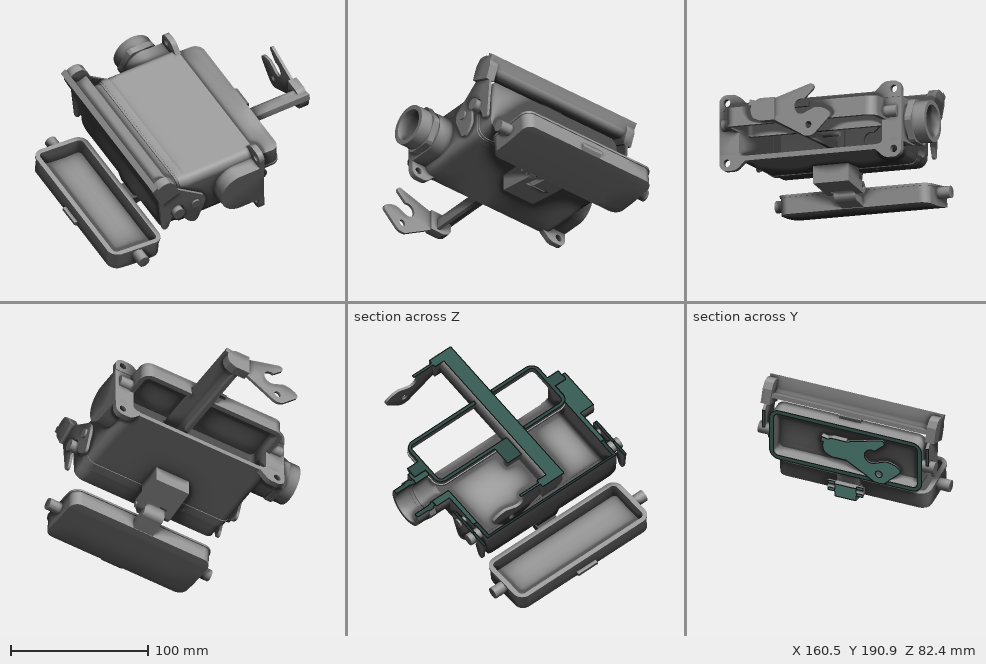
import cadquery as cq
import math


housing_half_width = 60.1
housing_half_height = 21.4
corner_radius = 6.7
wall = 3.6
flange_back = 19.3
housing_front = -44.0
band_length = 5.5
band_height = 0.5

ear_half_width = 72.0
ear_half_height = 28.2
ear_radius = 6.0
ear_tip_end = 61.8
ear_slope_start = 56.3
ear_slope_start_z = 26.0
ear_slope_end = 51.3
ear_front = 15.6
pad_height = 0.5
screw_hole_d = 5.5
boss_radius = 16.2
cable_hole_d = 21.8

rivet_y = -34.2
rivet_shank_d = 5.0
rivet_head_d = 7.0
rivet_head_height = 1.3

hinge_y = -45.0
hinge_z = -34.0
hinge_hole_d = 3.2
bracket_half_width = 14.0
bracket_tip_radius = 4.4
bracket_back_y = -18.1
bracket_back_z = -34.3
bracket_step_y = -38.0
bracket_step_z = -29.0

gland_end = -88.5
gland_d = 31.0
gland_bore_d = 24.2
gland_bore_end = -76.1
gland_neck_bore_d = 23.5
hex_start = -78.6
hex_end = -73.7
hex_flats = 31.9
hex_corner_d = 35.3
collar_d = 30.0

cover_half_width = 59.2
cover_half_depth = 21.0
cover_edge_height = 14.1
cover_crown = 1.3
cover_corner_radius = 7.3
rim_overhang = 0.8
rim_height = 1.7
cover_cavity_radius = 3.5
cover_floor = 2.0
peg_d = 9.0
peg_height = 5.7
peg_end = 69.0
tab_half_width = 8.5
tab_reach = 2.7
tab_low = 9.7
tab_high = 12.2
arm_half_width = 8.4
arm_barrel_d = 5.0
arm_inner_height = 5.3
arm_hook_start_height = 6.5
arm_hook_middle = (-35.1, 9.2)
arm_hook_end = (-32.0, 10.7)
arm_root_height = 13.7
rear_cover_y = 19.0
open_angle = 84.7

lever_half_length = 68.1
lever_tilt = 22.3
plate_outer = 65.3
plate_thickness = 2.1
cap_width = 7.0
cap_half_height = 8.4
cap_straight = 11.3
cap_crown_start = 16.2
cap_crown_half_height = 6.3
cap_crown = 18.5
pivot_p = -25.8
pivot_q = -13.7
pivot_hole_d = 5.2
notch_p = -20.2
notch_q = 0.4
notch_d = 11.3
notch_mouth_p = -22.3
finger_corner = ((-26.7, 16.6), (-30.0, 15.3), (-29.4, 12.2))
lobe_edge = ((-31.0, -1.1), (-36.0, -1.7), (-41.8, -4.8))
lobe_tip = (lobe_edge[2], (-42.7, -6.9), (-41.8, -9.5))
heel_corner = ((-31.7, -19.5), (-27.9, -21.8), (-22.7, -21.5))
rail_bend_p = 11.0
rail_bend_radius = 6.1
rail_thickness = 3.0
rail_foot_q = -6.1
lip_top = (20.2, 3.6)
lip_edge = (19.0, 8.0)
rear_lever_x = -0.4
rear_lever_y = 19.3


def box(x0, x1, y0, y1, z0, z1):
    size = (x1 - x0, y1 - y0, z1 - z0)
    return cq.Workplane("XY").box(*size, centered=False).translate((x0, y0, z0))


def x_cylinder(diameter, x0, x1, y, z):
    return cq.Workplane("YZ", origin=(x0, 0, 0)).center(y, z).circle(diameter / 2).extrude(x1 - x0)


def y_tube(half_width, half_height, radius, y0, y1):
    """A rounded rectangular bar along Y."""
    bar = cq.Workplane("XZ", origin=(0, y1, 0)).rect(2 * half_width, 2 * half_height)
    return bar.extrude(y1 - y0).edges("|Y").fillet(radius)


def make_ear(side, up):
    """One corner ear of the flange; side and up are +1 or -1."""
    corner = ear_radius * (1 - math.sqrt(0.5))
    back = flange_back + pad_height
    ear = (
        cq.Workplane("XZ", origin=(0, back, 0))
        .moveTo(side * ear_slope_end, 0)
        .lineTo(side * ear_half_width, 0)
        .lineTo(side * ear_half_width, up * (ear_half_height - ear_radius))
        .threePointArc(
            (side * (ear_half_width - corner), up * (ear_half_height - corner)),
            (side * (ear_half_width - ear_radius), up * ear_half_height),
        )
        .lineTo(side * ear_tip_end, up * ear_half_height)
        .tangentArcPoint((side * ear_slope_start, up * ear_slope_start_z), relative=False)
        .lineTo(side * ear_slope_end, up * housing_half_height)
        .close()
        .extrude(back - ear_front)
    )
    recess = box(-ear_half_width, ear_half_width, flange_back, back, -boss_radius, boss_radius)
    hole = (
        cq.Workplane("XZ", origin=(0, back, 0))
        .center(side * (ear_half_width - ear_radius), up * (ear_half_height - ear_radius))
        .circle(screw_hole_d / 2)
        .extrude(back - ear_front)
    )
    return ear.cut(recess).cut(hole)


def make_bosses():
    """D-shaped bosses on both ends, as one bar across the housing."""
    block = box(-ear_half_width, ear_half_width, 0, flange_back, -boss_radius, boss_radius)
    return block.union(x_cylinder(2 * boss_radius, -ear_half_width, ear_half_width, 0, 0))


def make_bracket():
    """Forked hinge bracket below the housing."""
    slope = math.atan2(bracket_back_z - hinge_z + bracket_tip_radius, bracket_back_y - hinge_y)
    bottom = (hinge_y + bracket_tip_radius * math.sin(slope), hinge_z - bracket_tip_radius * math.cos(slope))
    top = (hinge_y - bracket_tip_radius * math.sin(slope), hinge_z + bracket_tip_radius * math.cos(slope))
    tip = (hinge_y - bracket_tip_radius * math.cos(slope), hinge_z - bracket_tip_radius * math.sin(slope))
    root_z = wall - housing_half_height
    body = (
        cq.Workplane("YZ", origin=(-bracket_half_width, 0, 0))
        .moveTo(bracket_back_y, root_z)
        .lineTo(bracket_back_y, bracket_back_z)
        .lineTo(*bottom)
        .threePointArc(tip, top)
        .lineTo(bracket_step_y, bracket_step_z)
        .lineTo(bracket_step_y, root_z)
        .close()
        .extrude(2 * bracket_half_width)
    )
    slot = box(
        -arm_half_width, arm_half_width, hinge_y - bracket_tip_radius, bracket_step_y,
        hinge_z - 2 * bracket_tip_radius, -housing_half_height,
    )
    hole = x_cylinder(hinge_hole_d, -bracket_half_width, bracket_half_width, hinge_y, hinge_z)
    return body.cut(slot).cut(hole)


def make_rivet(side):
    root = side * (housing_half_width - wall)
    head_start = side * plate_outer
    head_end = side * (plate_outer + rivet_head_height)
    shank = x_cylinder(rivet_shank_d, root, head_start, rivet_y, 0)
    return shank.union(x_cylinder(rivet_head_d, head_start, head_end, rivet_y, 0))


def make_housing():
    body = y_tube(housing_half_width, housing_half_height, corner_radius, housing_front, flange_back)
    band = y_tube(
        housing_half_width, housing_half_height + band_height, corner_radius,
        housing_front, housing_front + band_length,
    )
    body = body.union(band).union(make_bosses())
    for side in (-1, 1):
        for up in (-1, 1):
            body = body.union(make_ear(side, up))
    cavity = y_tube(
        housing_half_width - wall, housing_half_height - wall, corner_radius - wall,
        housing_front, flange_back + pad_height,
    )
    body = body.cut(cavity)
    body = body.union(make_bracket())
    for side in (-1, 1):
        body = body.union(make_rivet(side))
    return body.cut(x_cylinder(cable_hole_d, -ear_half_width, 0, 0, 0))


def make_gland():
    collar = x_cylinder(collar_d, hex_end, -ear_half_width, 0, 0)
    barrel = x_cylinder(gland_d, gland_end, hex_end, 0, 0)
    nut = (
        cq.Workplane("YZ", origin=(hex_start, 0, 0))
        .polygon(6, hex_flats / math.cos(math.radians(30)))
        .extrude(hex_end - hex_start)
        .intersect(x_cylinder(hex_corner_d, hex_start, hex_end, 0, 0))
    )
    gland = barrel.union(nut).union(collar)
    gland = gland.cut(x_cylinder(gland_bore_d, gland_end, gland_bore_end, 0, 0))
    gland = gland.cut(x_cylinder(gland_neck_bore_d, gland_bore_end, hex_end, 0, 0))
    return gland.cut(x_cylinder(cable_hole_d, hex_end, -ear_half_width, 0, 0))


def crowned_block(half_width, half_depth, edge_height):
    """A block along X whose top is a shallow arc."""
    return (
        cq.Workplane("YZ", origin=(-half_width, 0, 0))
        .moveTo(-half_depth, 0)
        .lineTo(half_depth, 0)
        .lineTo(half_depth, edge_height)
        .threePointArc((0, edge_height + cover_crown), (-half_depth, edge_height))
        .close()
        .extrude(2 * half_width)
    )


def make_arm():
    """Hinge arm that leaves the cover's side and hooks round to the hinge."""
    pivot_y = hinge_z
    pivot_z = housing_front - hinge_y
    r = arm_barrel_d / 2
    return (
        cq.Workplane("YZ", origin=(-arm_half_width, 0, 0))
        .moveTo(-cover_half_depth, arm_inner_height)
        .lineTo(pivot_y + r, arm_inner_height)
        .lineTo(pivot_y + r, pivot_z)
        .threePointArc((pivot_y, pivot_z - r), (pivot_y - r, pivot_z))
        .lineTo(pivot_y - r, arm_hook_start_height)
        .threePointArc(arm_hook_middle, arm_hook_end)
        .lineTo(-cover_half_depth, arm_root_height)
        .close()
        .extrude(2 * arm_half_width)
    )


def make_tab():
    reach = cover_half_depth + tab_reach
    return (
        cq.Workplane("YZ", origin=(-tab_half_width, 0, 0))
        .moveTo(cover_half_depth, tab_low)
        .lineTo(reach, tab_low)
        .lineTo(reach, tab_high)
        .lineTo(cover_half_depth, cover_edge_height)
        .close()
        .extrude(2 * tab_half_width)
    )


def make_cover():
    body = crowned_block(cover_half_width, cover_half_depth, cover_edge_height)
    body = body.edges("|Z").fillet(cover_corner_radius)
    rim = (
        cq.Workplane("XY")
        .rect(2 * (cover_half_width + rim_overhang), 2 * (cover_half_depth + rim_overhang))
        .extrude(rim_height)
        .edges("|Z").fillet(cover_corner_radius + rim_overhang)
    )
    cavity = crowned_block(
        cover_half_width + rim_overhang - wall, cover_half_depth + rim_overhang - wall,
        cover_edge_height - cover_floor,
    )
    cavity = cavity.edges("|Z").fillet(cover_cavity_radius)
    body = body.union(rim).union(make_arm()).union(make_tab())
    body = body.union(x_cylinder(peg_d, -peg_end, peg_end, 0, peg_height))
    return body.cut(cavity)


def lever_plate(plane):
    """Side plate with a rivet hole and a notch that hooks a cover's peg."""
    notch_r = notch_d / 2
    half_mouth = math.sqrt(notch_r**2 - (notch_p - notch_mouth_p) ** 2)
    profile = (
        cq.Workplane(plane)
        .moveTo(0, -cap_half_height)
        .lineTo(0, cap_half_height)
        .lineTo(*finger_corner[0])
        .threePointArc(*finger_corner[1:])
        .lineTo(notch_mouth_p, notch_q + half_mouth)
        .threePointArc((notch_p + notch_r, notch_q), (notch_mouth_p, notch_q - half_mouth))
        .lineTo(*lobe_edge[0])
        .threePointArc(*lobe_edge[1:])
        .threePointArc(*lobe_tip[1:])
        .lineTo(*heel_corner[0])
        .threePointArc(*heel_corner[1:])
        .close()
        .extrude(plate_thickness)
    )
    hole = cq.Workplane(plane).center(pivot_p, pivot_q).circle(pivot_hole_d / 2).extrude(plate_thickness)
    return profile.cut(hole)


def lever_cap(plane):
    return (
        cq.Workplane(plane)
        .moveTo(0, -cap_half_height)
        .lineTo(cap_straight, -cap_half_height)
        .lineTo(cap_crown_start, -cap_crown_half_height)
        .threePointArc((cap_crown, 0), (cap_crown_start, cap_crown_half_height))
        .lineTo(cap_straight, cap_half_height)
        .lineTo(0, cap_half_height)
        .close()
        .extrude(cap_width)
    )


def lever_rail(plane):
    """Handle rail: a strip bent a quarter turn, with its long leg spread into a finger lip."""
    outer = rail_bend_p - rail_bend_radius
    inner = outer + rail_thickness
    inner_radius = rail_bend_radius - rail_thickness
    diagonal = math.sqrt(0.5)
    return (
        cq.Workplane(plane)
        .moveTo(outer, 0)
        .lineTo(outer, rail_foot_q)
        .lineTo(inner, rail_foot_q)
        .lineTo(inner, 0)
        .threePointArc(
            (rail_bend_p - inner_radius * diagonal, inner_radius * diagonal), (rail_bend_p, inner_radius)
        )
        .lineTo(*lip_top)
        .lineTo(*lip_edge)
        .lineTo(rail_bend_p, rail_bend_radius)
        .threePointArc((rail_bend_p - rail_bend_radius * diagonal, rail_bend_radius * diagonal), (outer, 0))
        .close()
        .extrude(2 * lever_half_length)
    )


def make_lever(origin, handle_direction, length_direction):
    def plane_at(distance):
        shifted = cq.Vector(*origin) + cq.Vector(*length_direction) * distance
        return cq.Plane(shifted, xDir=handle_direction, normal=length_direction)

    lever = lever_rail(plane_at(-lever_half_length))
    for start in (-lever_half_length, lever_half_length - cap_width):
        lever = lever.union(lever_cap(plane_at(start)))
    for start in (-plate_outer, plate_outer - plate_thickness):
        lever = lever.union(lever_plate(plane_at(start)))
    return lever


def make_front_lever():
    """Lever on the housing's rivets, leaning out over the closed cover."""
    s = math.sin(math.radians(lever_tilt))
    c = math.cos(math.radians(lever_tilt))
    foot = (0, rivet_y + pivot_p * s + pivot_q * c, -pivot_p * c + pivot_q * s)
    return make_lever(foot, (0, -s, c), (1, 0, 0))


def make_rear_lever():
    """Lever lying across the open flange with its handle along Y."""
    return make_lever((rear_lever_x, rear_lever_y, 0), (1, 0, 0), (0, -1, 0))


def make_rail_passage():
    """Clearance through the rear cover's walls for the rear lever's rail."""
    return box(
        rear_lever_x + rail_bend_p - rail_bend_radius, rear_lever_x + lip_top[0],
        rear_lever_y - lever_half_length, rear_lever_y + lever_half_length,
        rail_foot_q, lip_edge[1],
    )


cover = make_cover()
hinge_start = (0, hinge_y, hinge_z)
hinge_stop = (1, hinge_y, hinge_z)

rear_lever = make_rear_lever()
front_lever = make_front_lever()
gland = make_gland()

closed_pose = cover.rotate((0, 0, 0), (1, 0, 0), 90).translate((0, housing_front, 0))
open_cover = closed_pose.rotate(hinge_start, hinge_stop, open_angle)
closed_cover = closed_pose.cut(open_cover).cut(rear_lever)
rear_cover = cover.translate((0, rear_cover_y, 0)).cut(make_rail_passage())
housing = make_housing().cut(rear_cover).cut(rear_lever)

bodies = [housing, gland, closed_cover, open_cover, rear_cover, front_lever, rear_lever]
result = cq.Compound.makeCompound([body.val() for body in bodies])